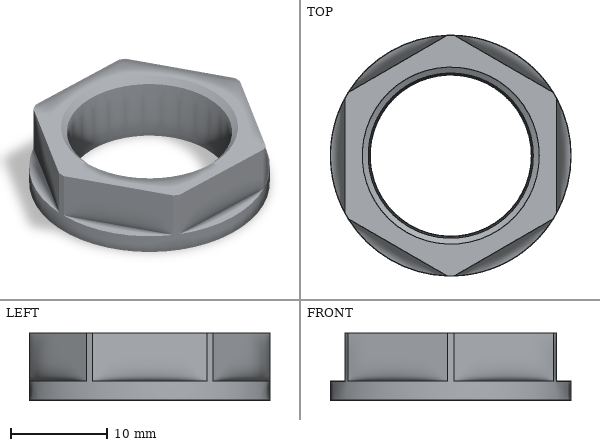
import cadquery as cq

flange_diameter = 25.0
flange_height = 2.0
total_height = 7.02
across_flats = 22.0
bore_top_diameter = 17.15
bore_bottom_diameter = 16.72
chamfer_diameter = 18.37
chamfer_depth = (chamfer_diameter - bore_top_diameter) / 2


def make_flange():
    return cq.Workplane("XY").circle(flange_diameter / 2).extrude(flange_height)


def make_hexagon():
    """Hexagon with flats facing +X and -X, its corners rounded by the flange cylinder."""
    prism = (
        cq.Workplane("XY")
        .polygon(6, across_flats, circumscribed=True)
        .extrude(total_height)
    )
    corner_limit = cq.Workplane("XY").circle(flange_diameter / 2).extrude(total_height)
    return prism.intersect(corner_limit)


def make_bore():
    """Slightly tapered through bore with a conical lead-in at the top."""
    return (
        cq.Workplane("XZ")
        .moveTo(0, 0)
        .lineTo(bore_bottom_diameter / 2, 0)
        .lineTo(bore_top_diameter / 2, total_height - chamfer_depth)
        .lineTo(chamfer_diameter / 2, total_height)
        .lineTo(0, total_height)
        .close()
        .revolve(360, (0, 0, 0), (0, 1, 0))
    )


result = make_flange().union(make_hexagon()).cut(make_bore())